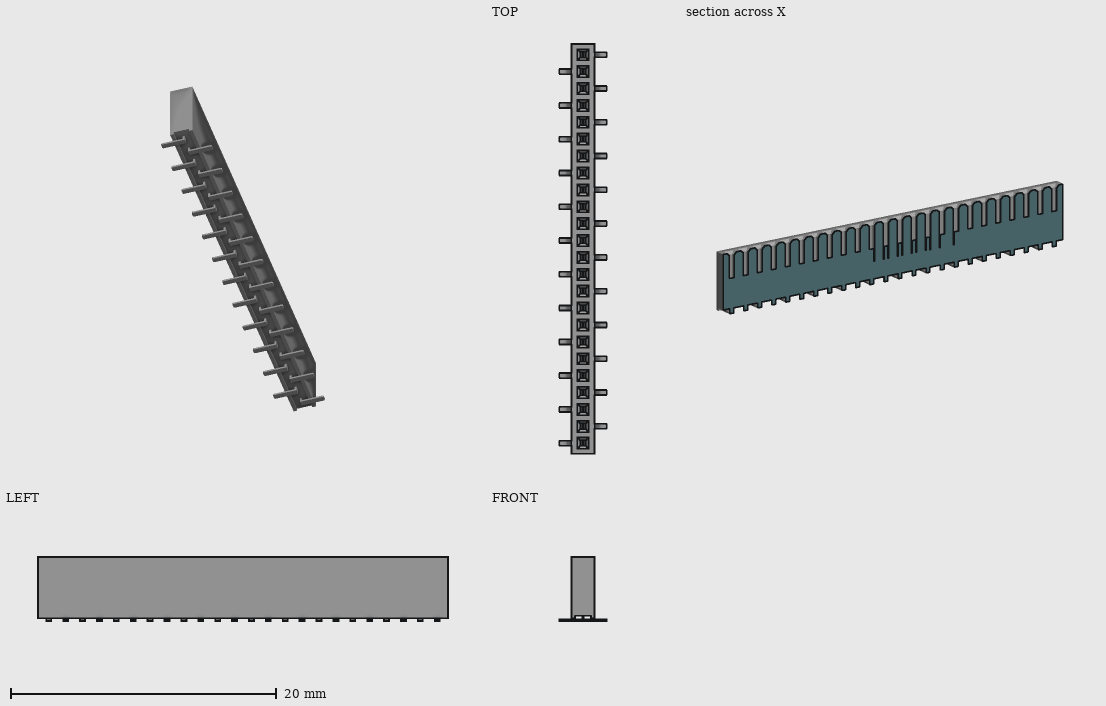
import cadquery as cq

pin_count = 24
pitch = 1.27

body_width = 1.75
body_length = 30.83
overall_height = 4.83
overall_width = 3.58

lead_thickness = 0.15
lead_width = 0.4
lead_corner_chamfer = 0.06
standoff = 0.05
body_bottom = lead_thickness + standoff
body_height = overall_height - body_bottom

channel_width = 1.2
channel_height = 0.2

funnel_size = 0.86
hole_size = 0.42
funnel_depth = (funnel_size - hole_size) / 2
hole_depth = 3.0
blade_rise = 1.0


def pin_y(index):
    """Centre of a contact along the row, counted from the -Y end."""
    return (index - (pin_count - 1) / 2) * pitch


def make_housing():
    block = cq.Workplane("XY", origin=(0, 0, body_bottom)).box(
        body_width, body_length, body_height, centered=(True, True, False)
    )
    channel = cq.Workplane("XY", origin=(0, 0, body_bottom)).box(
        channel_width, body_length, channel_height, centered=(True, True, False)
    )
    return block.cut(channel)


def make_socket(y):
    """Cutter for one entry: a square funnel leading into a square hole."""
    funnel = (
        cq.Workplane("XY", origin=(0, y, overall_height))
        .rect(funnel_size, funnel_size)
        .workplane(offset=-funnel_depth)
        .rect(hole_size, hole_size)
        .loft()
    )
    hole = cq.Workplane("XY", origin=(0, y, overall_height - hole_depth)).box(
        hole_size, hole_size, hole_depth - funnel_depth, centered=(True, True, False)
    )
    return funnel.union(hole)


def make_lead(y, side):
    """Blade standing up into the hole, with a flat foot reaching out to one side (+1 or -1)."""
    foot_length = (overall_width + lead_thickness) / 2
    foot_centre = side * (overall_width / 2 - foot_length / 2)
    tip_edges = "|Z and >X" if side > 0 else "|Z and <X"
    foot = (
        cq.Workplane("XY", origin=(foot_centre, y, 0))
        .box(foot_length, lead_width, lead_thickness, centered=(True, True, False))
        .edges(tip_edges)
        .chamfer(lead_corner_chamfer)
    )
    blade_height = overall_height - hole_depth + blade_rise
    blade = cq.Workplane("XY", origin=(0, y, 0)).box(
        lead_thickness, lead_width, blade_height, centered=(True, True, False)
    )
    return foot.union(blade)


connector = make_housing()
for i in range(pin_count):
    connector = connector.cut(make_socket(pin_y(i)))

for i in range(pin_count):
    lead_side = -1 if i % 2 == 0 else 1
    connector = connector.union(make_lead(pin_y(i), lead_side))

result = connector